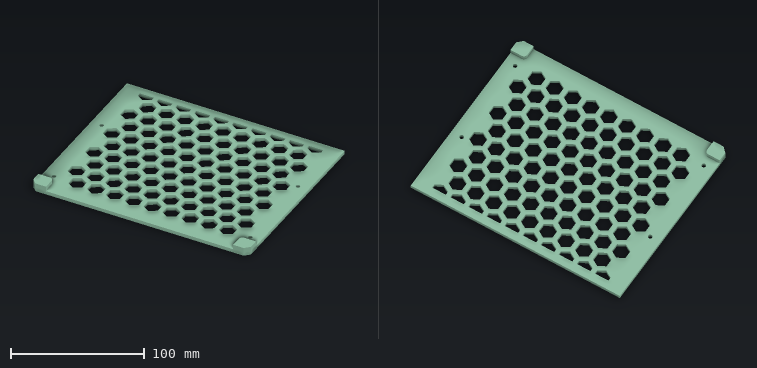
import cadquery as cq
import math

plate_width = 185.0
plate_depth = 152.0
plate_thickness = 3.0
front_corner_chamfer = 4.0

block_width = 13.0
block_depth = 12.0
block_top = 7.0
block_corner_radius = 3.0

screw_diameter = 3.5
screw_side_margin = 9.0
screw_front_y = 20.0
screw_rear_y = 95.0

hex_across_flats = 12.0
wide_row_count = 10
wide_row_span = 144.0
front_row_y = 20.7
row_count = 10
rear_margin = 7.0

hex_pitch = wide_row_span / (wide_row_count - 1)
row_pitch = hex_pitch * math.sqrt(3) / 2
hex_circumdiameter = hex_across_flats * 2 / math.sqrt(3)
grille_rear_y = plate_depth - rear_margin


def make_plate():
    return (
        cq.Workplane("XY")
        .box(plate_width, plate_depth, plate_thickness, centered=(True, False, False))
    )


def make_corner_block(side):
    """Block on one front corner: side is -1 for left, +1 for right."""
    center_x = side * (plate_width - block_width) / 2
    inner_rear_edge = ">Y and <X" if side > 0 else ">Y and >X"
    return (
        cq.Workplane("XY")
        .center(center_x, block_depth / 2)
        .rect(block_width, block_depth)
        .extrude(block_top)
        .edges("|Z")
        .edges(inner_rear_edge)
        .fillet(block_corner_radius)
    )


def honeycomb_centers():
    """Centres row by row, from the front to the rear."""
    centers = []
    for row in range(row_count):
        count = wide_row_count - (row + 1) % 2
        y = front_row_y + row * row_pitch
        for column in range(count):
            x = (column - (count - 1) / 2) * hex_pitch
            centers.append((x, y))
    return centers


def make_honeycomb_cutter():
    """Hexagonal prisms; the rearmost row is cut off along the grille's straight rear edge."""
    turned_plane = cq.Plane(origin=(0, 0, 0), xDir=(0, 1, 0), normal=(0, 0, 1))
    hexagons = (
        cq.Workplane(turned_plane)
        .pushPoints([(y, -x) for x, y in honeycomb_centers()])
        .polygon(6, hex_circumdiameter)
        .extrude(plate_thickness)
    )
    grille_area = (
        cq.Workplane("XY")
        .box(plate_width, grille_rear_y, plate_thickness, centered=(True, False, False))
    )
    return hexagons.intersect(grille_area)


def make_screw_holes():
    hole_x = plate_width / 2 - screw_side_margin
    centers = [(x, y) for x in (-hole_x, hole_x) for y in (screw_front_y, screw_rear_y)]
    return (
        cq.Workplane("XY")
        .pushPoints(centers)
        .circle(screw_diameter / 2)
        .extrude(plate_thickness)
    )


body = make_plate()
for side in (-1, 1):
    body = body.union(make_corner_block(side))

body = body.edges("|Z").edges("<Y and (<X or >X)").chamfer(front_corner_chamfer)

result = body.cut(make_honeycomb_cutter()).cut(make_screw_holes())